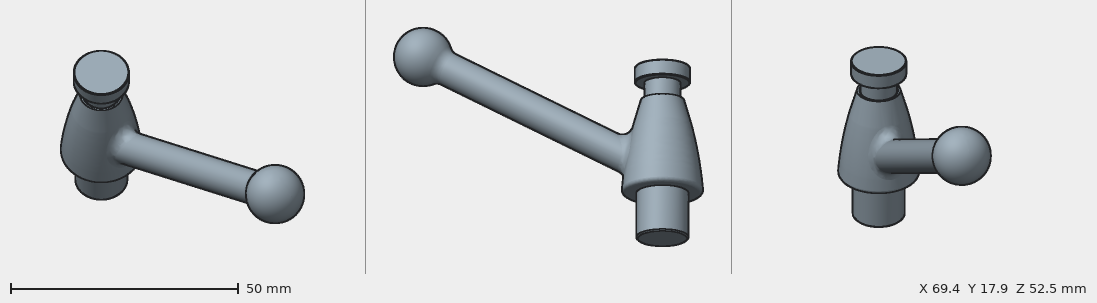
import cadquery as cq
import math

body_bottom = 10.5
body_top = 31.95
cap_bottom = 36.0
cap_top = 39.5

stem_diameter = 11.5
stem_chamfer = 0.35
neck_diameter = 8.0
cap_diameter = 12.2
cap_chamfer = 0.2

body_bottom_radius = 9.0
body_middle_radius = 7.5
body_middle_height = 21.5
body_top_radius = 4.8
body_edge_round = 0.8
countersink_depth = 0.3

overall_length = 69.45
overall_height = 52.5
ball_radius = 6.45
lever_diameter = 7.5
lever_angle = 30.0
lever_body_fillet = 2.4
lever_ball_fillet = 3.1

ball_x = overall_length - body_bottom_radius - ball_radius
ball_z = overall_height - ball_radius
lever_start_z = ball_z - ball_x * math.tan(math.radians(lever_angle))
lever_length = ball_x / math.cos(math.radians(lever_angle))


def cylinder(diameter, bottom, top):
    """Cylinder on the vertical axis between two heights."""
    return cq.Workplane("XY").workplane(offset=bottom).circle(diameter / 2).extrude(top - bottom)


def make_body():
    """Revolved body with an arched flank and a rounded lower edge."""
    body = (
        cq.Workplane("XZ")
        .moveTo(0, body_bottom)
        .lineTo(-body_bottom_radius, body_bottom)
        .threePointArc((-body_middle_radius, body_middle_height), (-body_top_radius, body_top))
        .lineTo(0, body_top)
        .close()
        .revolve(360, (0, 0, 0), (0, 1, 0))
    )
    return body.faces("<Z").edges().fillet(body_edge_round)


def make_lever():
    """Rod and ball revolved about the inclined axis, with a concave blend between them."""
    rod_radius = lever_diameter / 2
    blend_radial = rod_radius + lever_ball_fillet
    center_distance = ball_radius + lever_ball_fillet
    blend_axial = lever_length - math.sqrt(center_distance**2 - blend_radial**2)
    ball_fraction = ball_radius / center_distance
    ball_contact = (
        lever_length - (lever_length - blend_axial) * ball_fraction,
        blend_radial * ball_fraction,
    )

    angle = math.radians(lever_angle)
    axis = (math.cos(angle), 0, math.sin(angle))
    plane = cq.Plane(origin=(0, 0, lever_start_z), xDir=axis, normal=(0, -1, 0))
    return (
        cq.Workplane(plane)
        .lineTo(0, rod_radius)
        .lineTo(blend_axial, rod_radius)
        .radiusArc(ball_contact, -lever_ball_fillet)
        .threePointArc((lever_length, ball_radius), (lever_length + ball_radius, 0))
        .close()
        .revolve(360, (0, 0, 0), (1, 0, 0))
    )


body_joint = cq.selectors.BoxSelector(
    (0, -lever_diameter, body_bottom + body_edge_round),
    (2 * body_bottom_radius, lever_diameter, body_top - body_edge_round),
    boundingbox=True,
)
handle = make_body().union(make_lever())
handle = handle.edges(body_joint).fillet(lever_body_fillet)

stem = cylinder(stem_diameter, 0, body_bottom).faces("<Z").edges().chamfer(stem_chamfer)
neck = cylinder(neck_diameter, body_top - countersink_depth, cap_bottom)
cap = cylinder(cap_diameter, cap_bottom, cap_top).faces("<Z or >Z").edges().chamfer(cap_chamfer)

countersink = (
    cq.Workplane("XY")
    .workplane(offset=body_top)
    .circle(neck_diameter / 2 + countersink_depth)
    .extrude(-countersink_depth, taper=45)
)

result = handle.cut(countersink).union(stem).union(neck).union(cap)